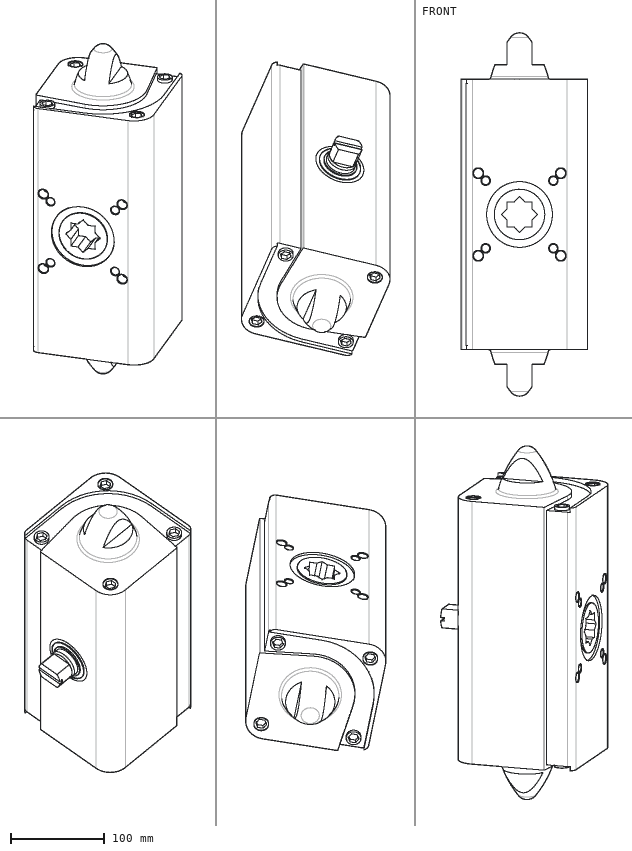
import cadquery as cq
import math


HALF_HEIGHT = 144.2
BLOCK_SIDE = 135.0
NEAR_SIDE = 62.5
FAR_SIDE = BLOCK_SIDE - NEAR_SIDE
NOTCH_SIDE = 57.0
LARGE_CORNER_RADIUS = 22.0
SMALL_CORNER_RADIUS = 7.0
NOTCH_EDGE_RADIUS = 1.0

PLATEAU_RADIUS = 47.5
PLATEAU_EDGE = 41.0
CHANNEL_RADIUS = 68.2
CHANNEL_DEPTH = 4.5

SCREW_SPACING = 100.0
SCREW_CENTER_OFFSET = 5.0
SCREW_HEAD_DIAMETER = 16.0
SCREW_HEAD_DROP = 1.0
HEX_ACROSS_CORNERS = 11.5
HEX_DEPTH = 6.0

TIP_Z = 194.0
STOP_FOOT_FILLET = 2.7
STOP_BASE_RADIUS = 30.5
STOP_MIDDLE_RADIUS = 22.5
STOP_MIDDLE_Z = 168.3
NOSE_RADIUS = 9.5
NOSE_Z = 189.0
STOP_BLADE_THICKNESS = 27.0
STOP_SHOULDER_Z = 159.7

OUTER_HOLE_SPACING = 88.0
OUTER_HOLE_DIAMETER = 10.0
INNER_HOLE_SPACING = 72.0
INNER_HOLE_DIAMETER = 8.5
HOLE_CHAMFER = 0.8
HOLE_DEPTH = 15.5
DRILL_TIP_ANGLE = 118.0

SEAT_RECESS_DIAMETER = 70.0
SEAT_RECESS_DEPTH = 2.7
SHAFT_INSET = 1.0
SHAFT_DIAMETER = 54.0
WASHER_DIAMETER = 46.0
WASHER_END = 63.5
RING_DIAMETER = 37.0
RING_END = 65.0
COLLAR_DIAMETER = 32.0
COLLAR_END = 73.0
COLLAR_CHAMFER_WIDTH = 1.0
COLLAR_CHAMFER_LENGTH = 2.7
STUB_DIAMETER = 30.5
STUB_ACROSS_FLATS = 21.0
OVERALL_DEPTH = 164.8
STUB_END = OVERALL_DEPTH - FAR_SIDE
SLOT_WIDTH = 3.5
SLOT_DEPTH = 4.0
STAR_SIDE = 27.0
STAR_DEPTH = 27.0

BLOCK_HEIGHT = 2 * HALF_HEIGHT
SHAFT_START = SHAFT_INSET - FAR_SIDE


def plateau_tangent_point():
    """Point where a line from (PLATEAU_EDGE, NEAR_SIDE) touches the plateau circle on its +X side."""
    corner_distance = math.hypot(PLATEAU_EDGE, NEAR_SIDE)
    corner_angle = math.atan2(NEAR_SIDE, PLATEAU_EDGE)
    angle = corner_angle - math.acos(PLATEAU_RADIUS / corner_distance)
    return PLATEAU_RADIUS * math.cos(angle), PLATEAU_RADIUS * math.sin(angle)


def make_block():
    """Square block with two notched strips, along Z."""
    tangent_x, tangent_y = plateau_tangent_point()
    slope = (tangent_x - PLATEAU_EDGE) / (NEAR_SIDE - tangent_y)
    notch_edge = PLATEAU_EDGE + slope * (NEAR_SIDE - NOTCH_SIDE)
    block = (
        cq.Workplane("XY")
        .workplane(offset=-HALF_HEIGHT)
        .moveTo(-NEAR_SIDE, NEAR_SIDE)
        .lineTo(PLATEAU_EDGE, NEAR_SIDE)
        .lineTo(notch_edge, NOTCH_SIDE)
        .lineTo(FAR_SIDE, NOTCH_SIDE)
        .lineTo(FAR_SIDE, -FAR_SIDE)
        .lineTo(-NOTCH_SIDE, -FAR_SIDE)
        .lineTo(-NOTCH_SIDE, -notch_edge)
        .lineTo(-NEAR_SIDE, -PLATEAU_EDGE)
        .close()
        .extrude(BLOCK_HEIGHT)
    )
    large_corners = [(-NEAR_SIDE, NEAR_SIDE), (FAR_SIDE, -FAR_SIDE)]
    small_corners = [(FAR_SIDE, NOTCH_SIDE), (-NOTCH_SIDE, -FAR_SIDE)]
    notch_corners = [(PLATEAU_EDGE, NEAR_SIDE), (-NEAR_SIDE, -PLATEAU_EDGE)]
    corner_groups = (
        (large_corners, LARGE_CORNER_RADIUS),
        (small_corners, SMALL_CORNER_RADIUS),
        (notch_corners, NOTCH_EDGE_RADIUS),
    )
    for corners, radius in corner_groups:
        for x, y in corners:
            edge = cq.selectors.NearestToPointSelector((x, y, 0))
            block = block.edges("|Z").edges(edge).fillet(radius)
    return block


def make_channel():
    """Lowered band of the top end face, between the plateau and the outer rim."""
    tangent_x, tangent_y = plateau_tangent_point()
    diagonal = math.sqrt(0.5)
    inner_middle = PLATEAU_RADIUS * diagonal
    outer_middle = CHANNEL_RADIUS * diagonal
    return (
        cq.Workplane("XY")
        .workplane(offset=HALF_HEIGHT - CHANNEL_DEPTH)
        .moveTo(PLATEAU_EDGE, NEAR_SIDE)
        .lineTo(tangent_x, tangent_y)
        .threePointArc((inner_middle, -inner_middle), (-tangent_y, -tangent_x))
        .lineTo(-NEAR_SIDE, -PLATEAU_EDGE)
        .lineTo(-NEAR_SIDE, -CHANNEL_RADIUS)
        .lineTo(0, -CHANNEL_RADIUS)
        .threePointArc((outer_middle, -outer_middle), (CHANNEL_RADIUS, 0))
        .lineTo(CHANNEL_RADIUS, NEAR_SIDE)
        .close()
        .extrude(CHANNEL_DEPTH)
    )


def screw_points():
    half = SCREW_SPACING / 2
    offset = SCREW_CENTER_OFFSET
    return [(offset + sx * half, -offset + sy * half) for sx in (-1, 1) for sy in (-1, 1)]


def make_screw_heads():
    """Four round heads that stand on the channel floor."""
    return (
        cq.Workplane("XY")
        .workplane(offset=HALF_HEIGHT - CHANNEL_DEPTH)
        .pushPoints(screw_points())
        .circle(SCREW_HEAD_DIAMETER / 2)
        .extrude(CHANNEL_DEPTH - SCREW_HEAD_DROP)
    )


def make_screw_recesses():
    """Clearance above the four heads, down to the head tops."""
    return (
        cq.Workplane("XY")
        .workplane(offset=HALF_HEIGHT)
        .pushPoints(screw_points())
        .circle(SCREW_HEAD_DIAMETER / 2)
        .extrude(-SCREW_HEAD_DROP)
    )


def make_hex_sockets():
    return (
        cq.Workplane("XY")
        .workplane(offset=HALF_HEIGHT - SCREW_HEAD_DROP)
        .pushPoints(screw_points())
        .polygon(6, HEX_ACROSS_CORNERS)
        .extrude(-HEX_DEPTH)
    )


def make_end_stop():
    """Pointed stop on the top end face: a turned ogive cut down to a blade."""
    foot_radius = STOP_BASE_RADIUS + STOP_FOOT_FILLET
    foot_top = HALF_HEIGHT + STOP_FOOT_FILLET
    fillet_reach = STOP_FOOT_FILLET * (1 - math.sqrt(0.5))
    nose_height = TIP_Z - NOSE_Z
    nose_sphere = (NOSE_RADIUS**2 + nose_height**2) / (2 * nose_height)
    nose_half_angle = math.asin(NOSE_RADIUS / nose_sphere) / 2
    nose_middle = (
        nose_sphere * math.sin(nose_half_angle),
        TIP_Z - nose_sphere * (1 - math.cos(nose_half_angle)),
    )
    ogive = (
        cq.Workplane("XZ")
        .moveTo(0, HALF_HEIGHT)
        .lineTo(foot_radius, HALF_HEIGHT)
        .threePointArc(
            (STOP_BASE_RADIUS + fillet_reach, HALF_HEIGHT + fillet_reach),
            (STOP_BASE_RADIUS, foot_top),
        )
        .threePointArc((STOP_MIDDLE_RADIUS, STOP_MIDDLE_Z), (NOSE_RADIUS, NOSE_Z))
        .threePointArc(nose_middle, (0, TIP_Z))
        .close()
        .revolve(360, (0, 0, 0), (0, 1, 0))
    )
    blade = (
        cq.Workplane("XY")
        .workplane(offset=STOP_SHOULDER_Z)
        .rect(STOP_BLADE_THICKNESS, 2 * foot_radius)
        .extrude(TIP_Z - STOP_SHOULDER_Z)
    )
    foot = (
        cq.Workplane("XY")
        .workplane(offset=HALF_HEIGHT)
        .circle(foot_radius)
        .extrude(STOP_SHOULDER_Z - HALF_HEIGHT)
    )
    return ogive.intersect(foot.union(blade))


def both_ends(shape):
    """The shape and its mirror copy at the opposite end of the block."""
    return shape, shape.mirror("XY")


def make_mounting_holes(spacing, diameter):
    """Four chamfered blind holes with drill tips, in a square pattern on the -Y face."""
    radius = diameter / 2
    tip_length = radius / math.tan(math.radians(DRILL_TIP_ANGLE / 2))
    hole = (
        cq.Workplane("XY")
        .moveTo(0, -FAR_SIDE)
        .lineTo(radius + HOLE_CHAMFER, -FAR_SIDE)
        .lineTo(radius, HOLE_CHAMFER - FAR_SIDE)
        .lineTo(radius, HOLE_DEPTH - FAR_SIDE)
        .lineTo(0, HOLE_DEPTH + tip_length - FAR_SIDE)
        .close()
        .revolve(360, (0, 0, 0), (0, 1, 0))
    )
    half = spacing / 2
    holes = cq.Workplane("XY")
    for sx in (-1, 1):
        for sz in (-1, 1):
            holes = holes.add(hole.translate((sx * half, 0, sz * half)))
    return holes.combine()


def disc(diameter, start, end):
    """Cylinder about the Y axis from Y = start to Y = end."""
    return cq.Workplane("XZ").workplane(offset=-start).circle(diameter / 2).extrude(start - end)


def make_housing():
    housing = make_block()
    for channel in both_ends(make_channel()):
        housing = housing.cut(channel)
    for recesses in both_ends(make_screw_recesses()):
        housing = housing.cut(recesses)
    for heads in both_ends(make_screw_heads()):
        housing = housing.union(heads)
    for sockets in both_ends(make_hex_sockets()):
        housing = housing.cut(sockets)
    for stop in both_ends(make_end_stop()):
        housing = housing.union(stop)
    housing = housing.cut(make_mounting_holes(OUTER_HOLE_SPACING, OUTER_HOLE_DIAMETER))
    housing = housing.cut(make_mounting_holes(INNER_HOLE_SPACING, INNER_HOLE_DIAMETER))
    housing = housing.cut(disc(SEAT_RECESS_DIAMETER, -FAR_SIDE, SEAT_RECESS_DEPTH - FAR_SIDE))
    return housing.cut(disc(SHAFT_DIAMETER, -FAR_SIDE, NEAR_SIDE))


def make_shaft_profile():
    """Turned steps of the shaft, from its inset end out to the end of the collar."""
    collar_radius = COLLAR_DIAMETER / 2
    return (
        cq.Workplane("XY")
        .moveTo(0, SHAFT_START)
        .lineTo(SHAFT_DIAMETER / 2, SHAFT_START)
        .lineTo(SHAFT_DIAMETER / 2, NEAR_SIDE)
        .lineTo(WASHER_DIAMETER / 2, NEAR_SIDE)
        .lineTo(WASHER_DIAMETER / 2, WASHER_END)
        .lineTo(RING_DIAMETER / 2, WASHER_END)
        .lineTo(RING_DIAMETER / 2, RING_END)
        .lineTo(collar_radius, RING_END)
        .lineTo(collar_radius, COLLAR_END - COLLAR_CHAMFER_LENGTH)
        .lineTo(collar_radius - COLLAR_CHAMFER_WIDTH, COLLAR_END)
        .lineTo(0, COLLAR_END)
        .close()
        .revolve(360, (0, 0, 0), (0, 1, 0))
    )


def make_stub():
    """Driving stub with two flats facing up and down and a slot across its end."""
    stub_length = STUB_END - COLLAR_END
    flats = (
        cq.Workplane("XZ")
        .workplane(offset=-COLLAR_END)
        .rect(STUB_DIAMETER, STUB_ACROSS_FLATS)
        .extrude(-stub_length)
    )
    slot = (
        cq.Workplane("XZ")
        .workplane(offset=-STUB_END)
        .rect(STUB_DIAMETER, SLOT_WIDTH)
        .extrude(SLOT_DEPTH)
    )
    return disc(STUB_DIAMETER, COLLAR_END, STUB_END).intersect(flats).cut(slot)


def make_star_socket():
    """Eight-pointed socket: two squares turned 45 degrees to each other."""
    square = (
        cq.Workplane("XZ")
        .workplane(offset=-SHAFT_START)
        .rect(STAR_SIDE, STAR_SIDE)
        .extrude(-STAR_DEPTH)
    )
    return square.union(square.rotate((0, 0, 0), (0, 1, 0), 45))


def make_shaft():
    return make_shaft_profile().union(make_stub()).cut(make_star_socket())


housing = make_housing()
shaft = make_shaft()

result = cq.Compound.makeCompound([housing.solids().val(), shaft.solids().val()])